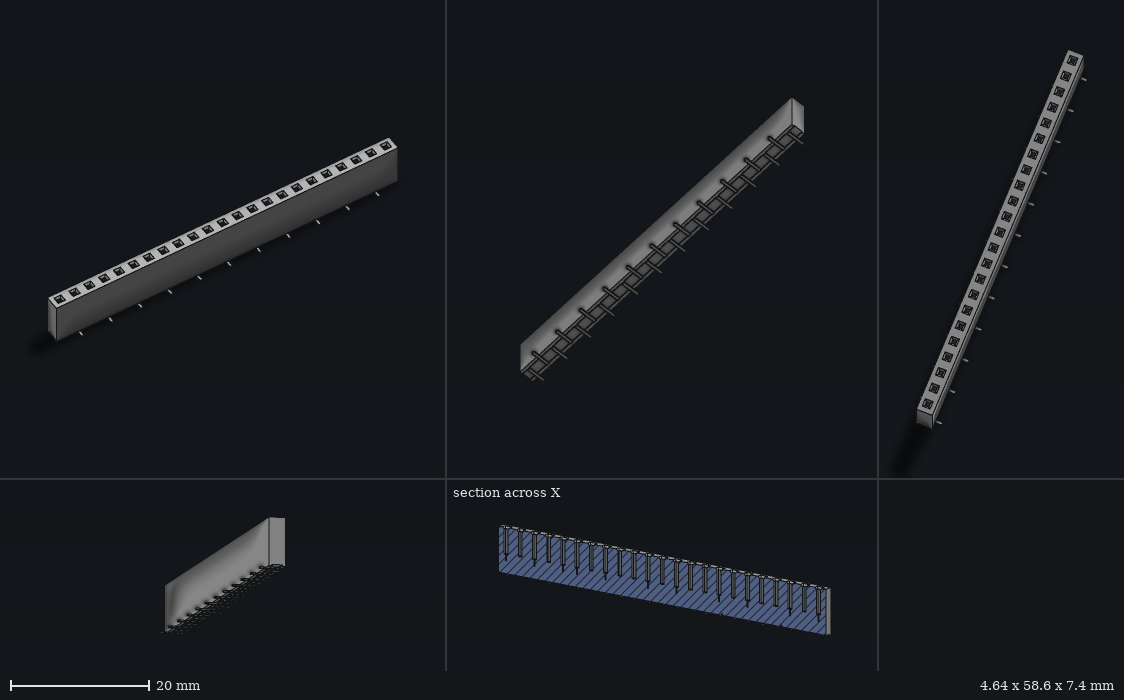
import cadquery as cq

PIN_COUNT = 23
PITCH = 2.54
END_MARGIN = 0.1
BODY_WIDTH = 2.54
TOTAL_HEIGHT = 7.4

LEAD_SPAN = 4.64
LEAD_WIDTH = 0.5
LEAD_THICKNESS = 0.2

CHANNEL_WIDTH = 1.5
CHANNEL_DEPTH = 0.2

FUNNEL_MOUTH = 1.2
HOLE_SIZE = 0.6
FUNNEL_DEPTH = (FUNNEL_MOUTH - HOLE_SIZE) / 2
HOLE_DEPTH = 4.0

SLIT_WIDTH = 0.04
SLIT_DEPTH = 1.0

BODY_LENGTH = PIN_COUNT * PITCH + 2 * END_MARGIN
BODY_HEIGHT = TOTAL_HEIGHT - LEAD_THICKNESS
PIN_POSITIONS = [(i - (PIN_COUNT - 1) / 2) * PITCH for i in range(PIN_COUNT)]


def make_body():
    """Long rectangular housing standing just clear of the board, with its underside channel."""
    housing = cq.Workplane("XY", origin=(0, 0, LEAD_THICKNESS)).box(
        BODY_WIDTH, BODY_LENGTH, BODY_HEIGHT, centered=(True, True, False)
    )
    channel = cq.Workplane("XY", origin=(0, 0, LEAD_THICKNESS)).box(
        CHANNEL_WIDTH, BODY_LENGTH, CHANNEL_DEPTH, centered=(True, True, False)
    )
    return housing.cut(channel)


def make_socket(y):
    """Volume removed for one socket: a tapered mouth, a straight square hole and a narrow slit."""
    top = cq.Workplane("XY", origin=(0, y, TOTAL_HEIGHT))
    funnel = (
        top.rect(FUNNEL_MOUTH, FUNNEL_MOUTH)
        .workplane(offset=-FUNNEL_DEPTH)
        .rect(HOLE_SIZE, HOLE_SIZE)
        .loft(ruled=True)
    )
    hole = top.rect(HOLE_SIZE, HOLE_SIZE).extrude(-HOLE_DEPTH)
    slit = top.rect(HOLE_SIZE, SLIT_WIDTH).extrude(-(HOLE_DEPTH + SLIT_DEPTH))
    return funnel.union(hole).union(slit)


def make_lead(y, side):
    """Flat lead from the far side of the channel to a full round tip on the given side (-1 or +1)."""
    root_x = -side * CHANNEL_WIDTH / 2
    tip_x = side * LEAD_SPAN / 2
    half_width = LEAD_WIDTH / 2
    round_start_x = tip_x - side * half_width
    return (
        cq.Workplane("XY", origin=(0, y, 0))
        .moveTo(root_x, -half_width)
        .lineTo(round_start_x, -half_width)
        .threePointArc((tip_x, 0), (round_start_x, half_width))
        .lineTo(root_x, half_width)
        .close()
        .extrude(LEAD_THICKNESS)
    )


sockets = cq.Compound.makeCompound([make_socket(y).val() for y in PIN_POSITIONS])
result = make_body().cut(cq.Workplane(sockets))
for index, pin_y in enumerate(PIN_POSITIONS):
    lead_side = -1 if index % 2 == 0 else 1
    result = result.union(make_lead(pin_y, lead_side))